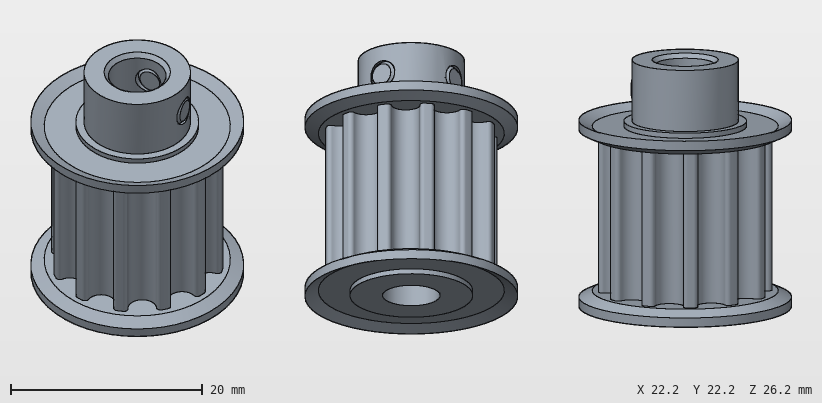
import math

import cadquery as cq

total_height = 26.2
flanged_height = 19.8

flange_radius = 11.1
flange_flat_radius = 9.7
flange_thickness = 1.0
flange_dish = 0.65

shoulder_radius = 6.4
shoulder_height = 0.55
hub_radius = 5.55
bore_radius = 3.0
bore_chamfer = 0.45

tooth_count = 12
tip_radius = 9.05
groove_depth = 2.1
groove_radius = 1.49
tip_fillet = 0.43

screw_radius = 1.5
screw_height = 23.0
screw_inner_end = 2.95
screw_chamfer = 0.35
screw_directions = [(1, 0, 0), (0, 1, 0)]

lower_disc_bottom = flange_dish
lower_disc_top = lower_disc_bottom + flange_thickness
upper_disc_top = flanged_height - flange_dish
upper_disc_bottom = upper_disc_top - flange_thickness


def cylinder(radius, bottom, top):
    """Cylinder about the Z axis between two heights."""
    return cq.Workplane("XY").workplane(offset=bottom).circle(radius).extrude(top - bottom)


def polar(radius, angle):
    """Point at an angle (radians) from the X axis."""
    return (radius * math.cos(angle), radius * math.sin(angle))


def between(start, end, distance):
    """Point at a distance from start on the line towards end."""
    share = distance / math.dist(start, end)
    return (start[0] + share * (end[0] - start[0]), start[1] + share * (end[1] - start[1]))


def flange(disc_inner, disc_outer, dish):
    """Flat disc whose rim is bent away by the dish height (positive is up)."""
    profile = [
        (0, disc_inner),
        (flange_flat_radius, disc_inner),
        (flange_radius, disc_inner + dish),
        (flange_radius, disc_outer + dish),
        (flange_flat_radius, disc_outer),
        (0, disc_outer),
    ]
    return cq.Workplane("XZ").polyline(profile).close().revolve(360, (0, 0, 0), (0, 1, 0))


def groove_cutter():
    """Round-bottomed groove on the X axis, flaring out through the tip fillets."""
    center_distance = tip_radius - groove_depth + groove_radius
    fillet_distance = tip_radius - tip_fillet
    span = groove_radius + tip_fillet
    cos_angle = (center_distance**2 + fillet_distance**2 - span**2) / (2 * center_distance * fillet_distance)
    fillet_angle = math.acos(cos_angle)

    center = (center_distance, 0)
    fillet_center = polar(fillet_distance, fillet_angle)
    wall = between(center, fillet_center, groove_radius)
    tip = polar(tip_radius, fillet_angle)
    chord_middle = ((wall[0] + tip[0]) / 2, (wall[1] + tip[1]) / 2)
    bend = between(fillet_center, chord_middle, tip_fillet)
    outside = polar(flange_radius, fillet_angle)

    return (
        cq.Workplane("XY")
        .workplane(offset=lower_disc_top)
        .moveTo(outside[0], -outside[1])
        .lineTo(tip[0], -tip[1])
        .threePointArc((bend[0], -bend[1]), (wall[0], -wall[1]))
        .threePointArc((tip_radius - groove_depth, 0), wall)
        .threePointArc(bend, tip)
        .lineTo(*outside)
        .close()
        .extrude(upper_disc_bottom - lower_disc_top)
    )


def toothed_body():
    """Belt surface between the flanges, with a groove on each of the X and Y axes."""
    body = cylinder(tip_radius, lower_disc_top, upper_disc_bottom)
    cutter = groove_cutter()
    for index in range(tooth_count):
        body = body.cut(cutter.rotate((0, 0, 0), (0, 0, 1), index * 360 / tooth_count))
    return body


def bore_cutter():
    """Through bore with a chamfered mouth at the hub end."""
    profile = [
        (0, 0),
        (bore_radius, 0),
        (bore_radius, total_height - bore_chamfer),
        (bore_radius + bore_chamfer, total_height),
        (0, total_height),
    ]
    return cq.Workplane("XZ").polyline(profile).close().revolve(360, (0, 0, 0), (0, 1, 0))


def radial_plane(direction, distance):
    """Plane at screw height, facing outwards at a distance from the Z axis."""
    origin = (direction[0] * distance, direction[1] * distance, screw_height)
    return cq.Plane(origin=origin, xDir=(0, 0, 1), normal=direction)


def screw_hole(direction):
    """Hole from the Z axis out through the hub wall."""
    return cq.Workplane(radial_plane(direction, 0)).circle(screw_radius).extrude(hub_radius)


def set_screw(direction):
    """Set screw chamfered at both ends, flush with the hub outside."""
    screw = cq.Workplane(radial_plane(direction, screw_inner_end)).circle(screw_radius)
    screw = screw.extrude(hub_radius - screw_inner_end)
    flat_ends = cq.selectors.ParallelDirSelector(cq.Vector(*direction))
    return screw.faces(flat_ends).chamfer(screw_chamfer)


result = toothed_body()
result = result.union(flange(upper_disc_bottom, upper_disc_top, flange_dish))
result = result.union(flange(lower_disc_top, lower_disc_bottom, -flange_dish))
result = result.union(
    cylinder(shoulder_radius, lower_disc_bottom - shoulder_height, upper_disc_top + shoulder_height)
)
result = result.union(cylinder(hub_radius, upper_disc_top, total_height))
result = result.cut(bore_cutter())

for screw_direction in screw_directions:
    result = result.cut(screw_hole(screw_direction))
    result = result.union(set_screw(screw_direction))